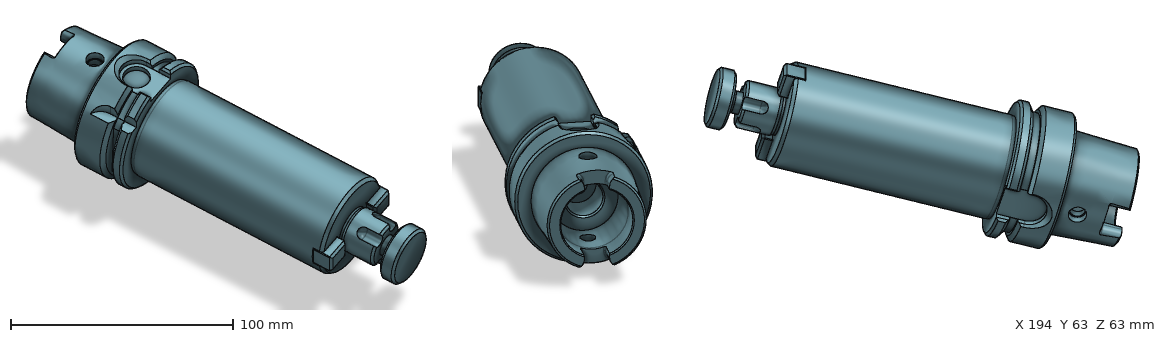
import cadquery as cq
import math

total_length = 194.0

taper_length = 32.0
taper_tip_radius = 22.7
taper_base_radius = 24.2
tip_chamfer_length = 0.8
tip_chamfer_height = 1.0
bore_radius = 16.5
bore_depth = 31.0
bore_mouth_chamfer = 0.5
bore_straight_depth = 11.8
bore_floor_radius = 15.3
tube_thread_radius = 8.5
tube_thread_depth = 17.5
tube_thread_chamfer = 0.8
coolant_radius = 4.5
cross_hole_x = 22.7
cross_hole_radius = 3.5
cross_counterbore_radius = 4.0
cross_counterbore_floor = 19.4

notch_half_width = 5.8
notch_flare_start = 17.5
notch_flare_radius = 4.0
notch_end_fillet = 1.0
notch_run_in = 2.0
upper_notch_depth = 6.2
lower_notch_depth = 10.0

flange_radius = 63.0 / 2
flange_end = 58.4
flange_front_chamfer = 1.2
flange_back_chamfer = 1.2
groove_radius = 27.7
groove_start = 48.3
groove_end = 52.0
groove_lip_width = 1.7
groove_lip_height = 2.3
groove_flat_distance = 23.7
groove_flat_tilt = 2.7

keyway_half_width = 8.0
keyway_center_x = 45.2
keyway_floor = 26.4
keyway_rim_start = 29.1
chip_hole_radius = 6.2
chip_hole_depth = 2.7
index_notch_center_x = 44.2
index_notch_wall = 19.5
index_notch_floor = 19.5

body_radius = 24.15
body_end = 162.2
neck_radius = 23.9
neck_end = 60.1
body_chamfer_length = 1.7
body_chamfer_height = 1.2

arbor_radius = 10.96
arbor_end = 180.8
arbor_chamfer = 1.2
relief_radius = 10.3
relief_end = 163.3
relief_ramp_end = 164.7

slot_half_width = 3.0
slot_center_x = 172.5
slot_axis_height = 9.9
slot_angle = 35.0

key_width = 10.0
key_start = 157.0
key_end = 167.0
key_inner = 11.6
key_outer = 23.7
key_chamfer = 0.4
key_front_chamfer = 1.2

screw_radius = 5.15
screw_start = 145.5
screw_head_radius = 13.87
screw_head_start = 186.2
screw_neck_start = 184.1
screw_neck_radius = 6.0
screw_back_chamfer = 1.2
screw_front_chamfer = 1.2


def revolve_about_x(points):
    """Solid of revolution from (x, radius) points."""
    return cq.Workplane("XY").polyline(points).close().revolve(360, (0, 0, 0), (1, 0, 0))


def make_outer_shape():
    lip_left = groove_start - groove_lip_width
    lip_right = groove_end + groove_lip_width
    lip_radius = flange_radius - groove_lip_height
    return revolve_about_x([
        (0, 0),
        (0, taper_tip_radius - tip_chamfer_height),
        (tip_chamfer_length, taper_tip_radius),
        (taper_length, taper_base_radius),
        (taper_length, flange_radius - flange_front_chamfer),
        (taper_length + flange_front_chamfer, flange_radius),
        (lip_left, flange_radius),
        (groove_start, lip_radius),
        (groove_start, groove_radius),
        (groove_end, groove_radius),
        (groove_end, lip_radius),
        (lip_right, flange_radius),
        (flange_end - flange_back_chamfer, flange_radius),
        (flange_end, flange_radius - flange_back_chamfer),
        (flange_end, neck_radius),
        (neck_end, body_radius),
        (body_end - body_chamfer_length, body_radius),
        (body_end, body_radius - body_chamfer_height),
        (body_end, relief_radius),
        (relief_end, relief_radius),
        (relief_ramp_end, arbor_radius),
        (arbor_end - arbor_chamfer, arbor_radius),
        (arbor_end, arbor_radius - arbor_chamfer),
        (arbor_end, 0),
    ])


def make_inner_passage():
    thread_end = bore_depth + tube_thread_depth
    return revolve_about_x([
        (0, 0),
        (0, bore_radius + bore_mouth_chamfer),
        (bore_mouth_chamfer, bore_radius),
        (bore_straight_depth, bore_radius),
        (bore_depth, bore_floor_radius),
        (bore_depth, tube_thread_radius + tube_thread_chamfer),
        (bore_depth + tube_thread_chamfer, tube_thread_radius),
        (thread_end, tube_thread_radius),
        (thread_end, coolant_radius),
        (screw_start, coolant_radius),
        (screw_start, screw_radius),
        (arbor_end, screw_radius),
        (arbor_end, 0),
    ])


def make_rim_notch(depth):
    """Notch through the upper rim, its side walls flaring outward in an arc."""
    flare_top = notch_flare_start + notch_flare_radius
    flare_half_width = notch_half_width + notch_flare_radius
    diagonal = notch_flare_radius * math.sqrt(0.5)
    mid_y = flare_half_width - diagonal
    mid_z = notch_flare_start + diagonal
    notch_bottom = bore_radius / 2
    notch_top = flange_radius
    return (
        cq.Workplane("YZ", origin=(-notch_run_in, 0, 0))
        .moveTo(-notch_half_width, notch_bottom)
        .lineTo(notch_half_width, notch_bottom)
        .lineTo(notch_half_width, notch_flare_start)
        .threePointArc((mid_y, mid_z), (flare_half_width, flare_top))
        .lineTo(flare_half_width, notch_top)
        .lineTo(-flare_half_width, notch_top)
        .lineTo(-flare_half_width, flare_top)
        .threePointArc((-mid_y, mid_z), (-notch_half_width, notch_flare_start))
        .close()
        .extrude(depth + notch_run_in)
        .faces(">X")
        .edges()
        .fillet(notch_end_fillet)
    )


def round_ended_slot(center_x, half_width, end_x, bottom, top, taper=0):
    """Vertical slot with a round end at center_x, running to end_x; taper widens it upward."""
    return (
        cq.Workplane("XY", origin=(center_x, 0, bottom))
        .moveTo(0, half_width)
        .threePointArc((-half_width, 0), (0, -half_width))
        .lineTo(end_x - center_x, -half_width)
        .lineTo(end_x - center_x, half_width)
        .close()
        .extrude(top - bottom, taper=-taper)
    )


def make_keyway():
    """Flange keyway cutter, widened by a 45 degree chamfer along the rim."""
    keyway = round_ended_slot(keyway_center_x, keyway_half_width, flange_end, keyway_floor, flange_radius)
    rim = round_ended_slot(
        keyway_center_x, keyway_half_width, flange_end, keyway_rim_start, flange_radius, taper=45
    )
    return keyway.union(rim)


def make_groove_flat():
    length = groove_end - groove_start
    depth = flange_radius - groove_flat_distance
    return (
        cq.Workplane("XY")
        .box(length, depth, 2 * flange_radius, centered=(False, False, True))
        .translate((groove_start, -flange_radius, 0))
        .rotate((0, 0, 0), (1, 0, 0), -groove_flat_tilt)
    )


def make_coolant_slot(angle):
    """Slot cut with a ball-ended tool, open at the end of the spigot."""
    walls = round_ended_slot(slot_center_x, slot_half_width, arbor_end, slot_axis_height, body_radius)
    length = arbor_end - slot_center_x
    trough = cq.Workplane("YZ", origin=(slot_center_x, 0, slot_axis_height)).circle(slot_half_width)
    ball = cq.Workplane("XY").sphere(slot_half_width).translate((slot_center_x, 0, slot_axis_height))
    slot = walls.union(trough.extrude(length)).union(ball)
    return slot.rotate((0, 0, 0), (1, 0, 0), angle)


def make_key(side):
    """Drive key on the +Y (side = 1) or -Y (side = -1) flank."""
    key = cq.Workplane("XY").box(key_end - key_start, key_outer - key_inner, key_width)
    key = key.faces(">X").edges().chamfer(key_front_chamfer)
    key = key.edges("|X").chamfer(key_chamfer)
    key = key.faces("<X").edges().chamfer(key_chamfer)
    center_y = side * (key_inner + key_outer) / 2
    return key.translate(((key_start + key_end) / 2, center_y, 0))


def make_key_seat(side):
    """Pocket for a drive key, open at the end and the flank of the body."""
    length = body_end - key_start
    depth = flange_radius - key_inner
    seat = cq.Workplane("XY").box(length, depth, key_width)
    return seat.translate((key_start + length / 2, side * (key_inner + depth / 2), 0))


def make_holder():
    holder = make_outer_shape().cut(make_inner_passage())

    holder = holder.cut(make_rim_notch(upper_notch_depth))
    holder = holder.cut(make_rim_notch(lower_notch_depth).rotate((0, 0, 0), (1, 0, 0), 180))

    cross_hole = (
        cq.Workplane("XY")
        .center(cross_hole_x, 0)
        .circle(cross_hole_radius)
        .extrude(taper_base_radius, both=True)
    )
    holder = holder.cut(cross_hole)
    for side in (1, -1):
        counterbore = (
            cq.Workplane("XY", origin=(cross_hole_x, 0, side * cross_counterbore_floor))
            .circle(cross_counterbore_radius)
            .extrude(side * (taper_base_radius - cross_counterbore_floor))
        )
        holder = holder.cut(counterbore)

    keyway = make_keyway()
    holder = holder.cut(keyway).cut(keyway.rotate((0, 0, 0), (1, 0, 0), 180))
    chip_hole = (
        cq.Workplane("XY", origin=(keyway_center_x, 0, keyway_floor))
        .circle(chip_hole_radius)
        .extrude(-chip_hole_depth)
    )
    holder = holder.cut(chip_hole)

    index_notch = round_ended_slot(
        index_notch_center_x, keyway_half_width, flange_end, index_notch_floor, flange_radius
    ).translate((0, -index_notch_wall - keyway_half_width, 0))
    holder = holder.cut(index_notch).cut(make_groove_flat())

    for side in (1, -1):
        holder = holder.cut(make_key_seat(side))
    for angle in (slot_angle, -slot_angle, 180 + slot_angle, 180 - slot_angle):
        holder = holder.cut(make_coolant_slot(angle))
    return holder


def make_screw():
    return revolve_about_x([
        (screw_start, 0),
        (screw_start, screw_radius),
        (screw_neck_start, screw_radius),
        (screw_head_start, screw_neck_radius),
        (screw_head_start, screw_head_radius - screw_back_chamfer),
        (screw_head_start + screw_back_chamfer, screw_head_radius),
        (total_length - screw_front_chamfer, screw_head_radius),
        (total_length, screw_head_radius - screw_front_chamfer),
        (total_length, 0),
    ])


holder = make_holder()
keys = [make_key(side) for side in (1, -1)]
screw = make_screw()

result = cq.Compound.makeCompound([holder.val(), *[key.val() for key in keys], screw.val()])